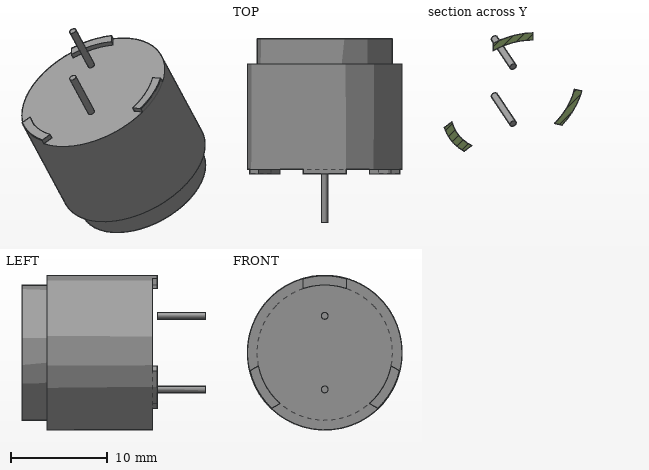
import cadquery as cq

housing_diameter = 16.0
housing_length = 10.9
cap_diameter = 13.98
cap_length = 2.6

foot_count = 3
foot_height = 0.5
foot_width = 4.48
foot_inner_radius = 7.0

pin_diameter = 0.7
pin_length = 5.0
pin_spacing = 7.6

edge_radius = 0.05

total_length = cap_length + housing_length + foot_height + pin_length
pin_tip_y = -total_length / 2
pin_root_y = pin_tip_y + pin_length
base_y = pin_root_y + foot_height
shoulder_y = base_y + housing_length


def cylinder(diameter, start_y, length, z=0.0):
    """Cylinder along +Y that starts at start_y."""
    return cq.Workplane("XZ", origin=(0, start_y, z)).circle(diameter / 2).extrude(-length)


def make_foot(angle):
    """Parallel-sided slice of the rim ring, turned about the Y axis from the +Z side."""
    ring = cylinder(housing_diameter, pin_root_y, foot_height).faces("<Y").fillet(edge_radius)
    ring = ring.cut(cylinder(2 * foot_inner_radius, pin_root_y, foot_height))
    slice_box = cq.Workplane("XY").box(
        foot_width, foot_height, housing_diameter / 2, centered=(True, False, False)
    ).translate((0, pin_root_y, 0))
    return ring.intersect(slice_box).rotate((0, 0, 0), (0, 1, 0), angle)


def make_housing():
    """Main cylinder with the feet standing on its base."""
    housing = cylinder(housing_diameter, base_y, housing_length)
    for index in range(foot_count):
        housing = housing.union(make_foot(index * 360 / foot_count))
    return housing


def make_cap():
    """Narrower disc seated flat on the shoulder of the housing, with its far rim rounded."""
    return cylinder(cap_diameter, shoulder_y, cap_length).faces(">Y").fillet(edge_radius)


def make_pin(z):
    """Round pin whose root lies in the plane of the foot tips."""
    return cylinder(pin_diameter, pin_tip_y, pin_length, z)


housing = make_housing()
cap = make_cap()
pins = []
for side in (-1, 1):
    pins.append(make_pin(side * pin_spacing / 2).val())

result = cq.Compound.makeCompound([housing.val(), cap.val(), *pins])